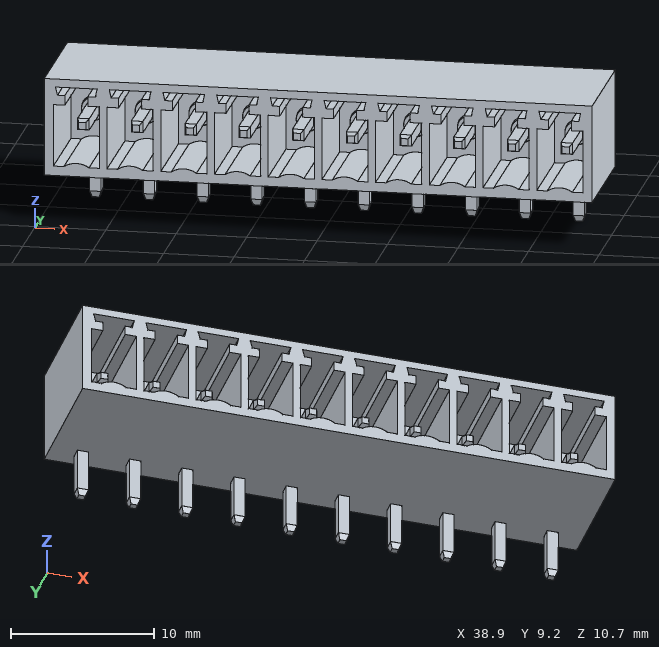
import cadquery as cq

length = 38.9
depth = 9.2
total_height = 10.7
body_height = 7.05

contact_count = 10
pitch = 3.8

socket_depth = 7.0
chamber_width = 3.25
chamber_bottom = 0.7
chamber_top = 5.17
neck_width = 1.65
keyway_bottom = 5.87
keyway_top = 6.45
keyway_bottom_width = 2.7
keyway_top_width = 2.95

rib_width = 1.8
rib_height = 0.27

wire_size = 0.8
wire_height = 3.05
wire_front = 2.35
leg_from_back = 1.35
tip_size = 0.5
tip_length = 0.45

collar_base_diameter = 1.75
collar_end_diameter = 1.67
collar_length = 0.4

front_y = -depth / 2
socket_back_y = front_y + socket_depth
leg_y = depth / 2 - leg_from_back
leg_bottom = body_height - total_height


def make_socket():
    """Socket volume for a contact at X = 0, opening on the front face."""
    half_chamber = chamber_width / 2
    half_neck = neck_width / 2
    half_rib = rib_width / 2
    return (
        cq.Workplane("XZ", origin=(0, front_y, 0))
        .moveTo(-half_chamber, chamber_bottom)
        .lineTo(-half_rib, chamber_bottom)
        .threePointArc((0, chamber_bottom + rib_height), (half_rib, chamber_bottom))
        .lineTo(half_chamber, chamber_bottom)
        .lineTo(half_chamber, chamber_top)
        .lineTo(half_neck, chamber_top)
        .lineTo(half_neck, keyway_bottom)
        .lineTo(keyway_bottom_width / 2, keyway_bottom)
        .lineTo(keyway_top_width / 2, keyway_top)
        .lineTo(-keyway_top_width / 2, keyway_top)
        .lineTo(-keyway_bottom_width / 2, keyway_bottom)
        .lineTo(-half_neck, keyway_bottom)
        .lineTo(-half_neck, chamber_top)
        .lineTo(-half_chamber, chamber_top)
        .close()
        .extrude(-socket_depth)
    )


def make_wire(end_plane, wire_length):
    """Square wire running along the plane normal, with a tapered tip at the plane."""
    tip = (
        end_plane.rect(tip_size, tip_size)
        .workplane(offset=tip_length)
        .rect(wire_size, wire_size)
        .loft(ruled=True)
    )
    shank = (
        end_plane.workplane(offset=tip_length)
        .rect(wire_size, wire_size)
        .extrude(wire_length - tip_length)
    )
    return shank.union(tip)


def make_contact():
    """Bent contact with its collar, at X = 0."""
    pin_end_y = front_y + wire_front
    pin_plane = cq.Plane(origin=(0, pin_end_y, wire_height), xDir=(1, 0, 0), normal=(0, 1, 0))
    pin = make_wire(cq.Workplane(pin_plane), leg_y + wire_size / 2 - pin_end_y)
    leg_end = cq.Workplane("XY", origin=(0, leg_y, leg_bottom))
    leg = make_wire(leg_end, wire_height + wire_size / 2 - leg_bottom)
    collar = (
        cq.Workplane("XZ", origin=(0, socket_back_y, wire_height))
        .circle(collar_base_diameter / 2)
        .workplane(offset=collar_length)
        .circle(collar_end_diameter / 2)
        .loft()
    )
    return pin.union(leg).union(collar)


contact_positions = [(index - (contact_count - 1) / 2) * pitch for index in range(contact_count)]
socket = make_socket()
contact = make_contact()

result = cq.Workplane("XY").box(length, depth, body_height, centered=(True, True, False))
for x in contact_positions:
    result = result.cut(socket.translate((x, 0, 0)))
for x in contact_positions:
    result = result.union(contact.translate((x, 0, 0)))